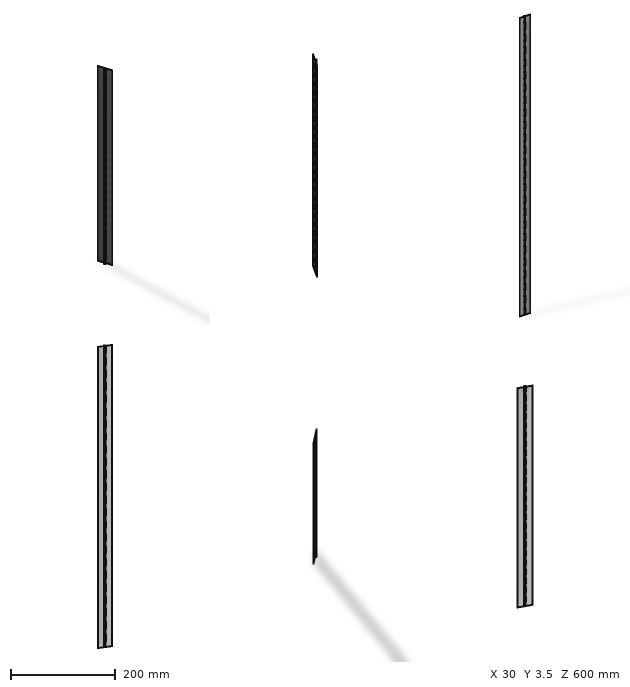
import cadquery as cq
import math


hinge_length = 600.0
hinge_width = 30.0
barrel_diameter = 3.5
leaf_thickness = 0.8
notch_reach = 2.1
knuckle_count = 48

half_width = hinge_width / 2
barrel_radius = barrel_diameter / 2
pin_radius = barrel_radius - leaf_thickness
knuckle_length = hinge_length / knuckle_count
leaf_back = barrel_radius
leaf_front = leaf_back - leaf_thickness
crease_reach = math.sqrt(barrel_radius**2 - leaf_front**2)


def make_knuckle(side):
    """Lowest knuckle position: a pierced barrel whose back runs straight on into its leaf."""
    barrel_and_strip = (
        cq.Workplane("XY")
        .moveTo(side * notch_reach, leaf_back)
        .lineTo(0, leaf_back)
        .threePointArc((0, -barrel_radius), (side * crease_reach, leaf_front))
        .lineTo(side * notch_reach, leaf_front)
        .close()
        .extrude(knuckle_length)
    )
    pin_hole = cq.Workplane("XY").circle(pin_radius).extrude(knuckle_length)
    return barrel_and_strip.cut(pin_hole)


def make_leaf(side, first_knuckle):
    """Leaf on one side of the pin (-1 or +1), with every second knuckle from first_knuckle upward."""
    plate_width = half_width - notch_reach
    plate_centre = side * (notch_reach + plate_width / 2)
    plate = (
        cq.Workplane("XY")
        .center(plate_centre, (leaf_front + leaf_back) / 2)
        .rect(plate_width, leaf_thickness)
        .extrude(hinge_length)
    )
    lowest_knuckle = make_knuckle(side)
    knuckles = [
        lowest_knuckle.translate((0, 0, index * knuckle_length)).val()
        for index in range(first_knuckle, knuckle_count, 2)
    ]
    return cq.Workplane(plate.val().fuse(*knuckles).clean())


def make_pin():
    """Plain round pin through all the knuckles, flush with both ends of the leaves."""
    return cq.Workplane("XY").circle(pin_radius).extrude(hinge_length)


right_leaf = make_leaf(side=1, first_knuckle=0)
left_leaf = make_leaf(side=-1, first_knuckle=1)
pin = make_pin()

result = cq.Compound.makeCompound([left_leaf.val(), right_leaf.val(), pin.val()])